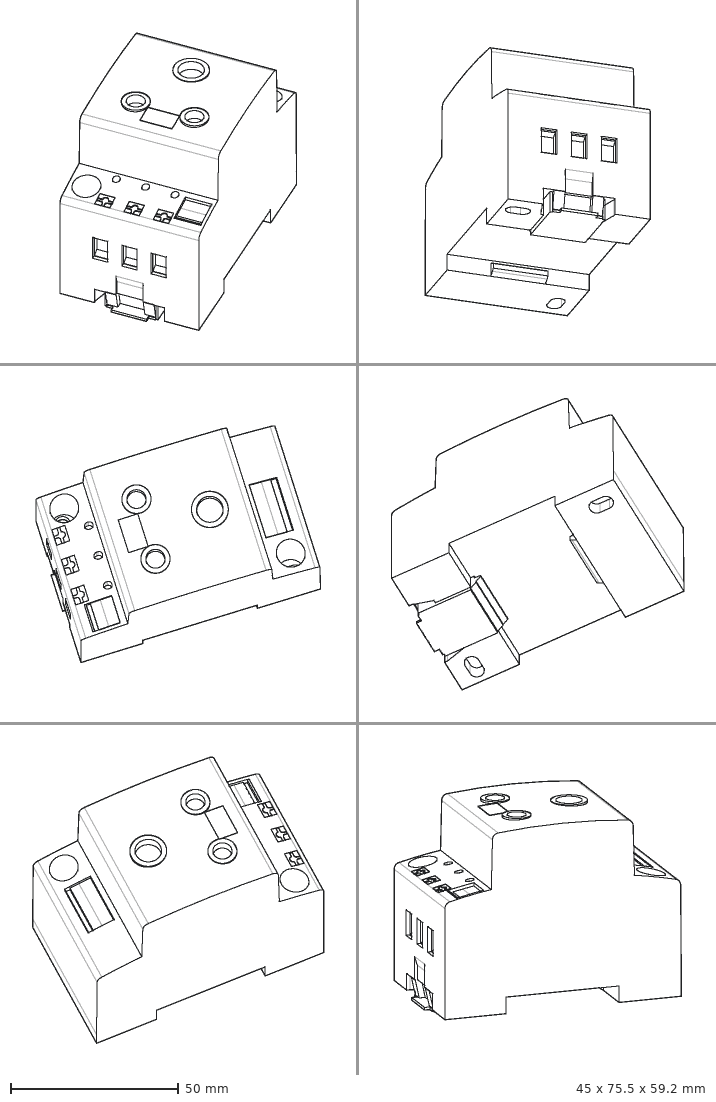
import cadquery as cq
import math

WIDTH = 45.0
HALF_DEPTH = 37.4
BACK_BASE = 37.6
BACK_DRAFT_START = 5.0
SHOULDER_HALF = 22.7
BLOCK_TOP_HALF = 22.3
CROWN_TOP = 57.5
CROWN_RADIUS = 205.0
SHOULDER_CROWN_TOP = 40.75
SHOULDER_RADIUS = 155.0
EDGE_FILLET = 2.0
FRONT = -HALF_DEPTH

CHANNEL_BACK = 17.8
CHANNEL_FRONT = -18.0
CHANNEL_HEIGHT = 5.15

RING_TOP = 57.65
RING_HOLE_DEPTH = 3.0
PITCH = 9.5
RINGS = [
    (0.0, 10.0, 5.5, 3.95),
    (-PITCH, -10.0, 4.35, 2.85),
    (PITCH, -10.0, 4.35, 2.85),
]

LABEL_WIDTH = 10.4
LABEL_FRONT = -17.05
LABEL_BACK = -10.95
LABEL_HEIGHT = 0.15

WELL_DIAMETER = 8.6
WELL_FLOOR = 5.0
MOUNT_SLOT_LENGTH = 7.6
MOUNT_SLOT_WIDTH = 4.5
MOUNTS = [(-16.9, -30.3, 0), (16.3, 30.2, 90)]

FRONT_POCKET = ((12.8, 21.4), -24.75, -28.3, -31.4, -32.7, -33.3)
BACK_POCKET = ((-7.05, 9.75), 24.5, 28.3, 31.2, 32.9, 33.1)
POCKET_DEPTH = 1.0
POCKET_TRENCH_DEPTH = 2.0
POCKET_LEDGE_DEPTH = 0.25

ACCESS_WIDTH = 2.2
ACCESS_LENGTH = 2.55
ACCESS_Y = -24.9
ACCESS_DEPTH = 6.0
CLIP_WIDTH = 4.9
CLIP_BACK = -31.65
CLIP_FRONT = -35.7
CLIP_DEPTH = 0.1
KEY_DEPTH = 0.4
KEY_BAR_BACK = -33.25
KEY_BAR_FRONT = -34.1
KEY_DOME_RADIUS = 0.95
KEY_STEM_WIDTH = 0.8
KEY_CORNER_RADIUS = 0.7

WINDOW_WIDTH = 4.9
WINDOW_BOTTOM = 16.9
WINDOW_TOP = 24.85
WINDOW_STEP_DEPTH = 1.2
WINDOW_DEPTH = 3.0
FUNNEL_WIDTH = 4.65
FUNNEL_FRONT_BOTTOM = 17.05
FUNNEL_FRONT_TOP = 24.4
FUNNEL_BACK_BOTTOM = 18.15
FUNNEL_BACK_TOP = 23.45

NOTCH_HALF = 11.35
NOTCH_INNER_HALF = 9.55
NOTCH_STRAIGHT = 1.0
NOTCH_DEPTH = 7.5
THUMB_HALF = 4.4
THUMB_TOP = 12.4
THUMB_KNEE = 9.65
THUMB_DEPTH = 0.86
LATCH_HALF = 8.65
LATCH_FRONT = FRONT + 1.6
LATCH_BOTTOM = -1.5
PAD_HALF = 7.9
PAD_TOP_DEPTH = 0.2
PAD_LEAN = 1.3
GRIP_TOP_DEPTH = 2.1
LIP_TOP = -0.65
LIP_FRONT = -37.88
LIP_TIP_HALF = 5.75
LIP_SHOULDER = -36.2

HOOK_HALF = LATCH_HALF
LATCH_HOOK = [
    (CHANNEL_FRONT, CHANNEL_HEIGHT),
    (-16.8, CHANNEL_HEIGHT),
    (-16.8, 4.4),
    (-16.0, 4.1),
    (-14.6, 4.0),
    (-14.6, 3.5),
    (-16.15, 1.9),
    (-16.15, 1.3),
    (CHANNEL_FRONT, -0.5),
]
FIXED_HOOK = [
    (CHANNEL_BACK, 4.2),
    (16.3, 3.7),
    (15.5, 3.3),
    (15.5, 1.7),
    (16.3, 1.0),
    (CHANNEL_BACK, 0),
]


def arc_height(y, top, radius):
    """Height at depth y of an arc centred on Y = 0."""
    return top - radius + math.sqrt(radius**2 - y**2)


def crown(y):
    return arc_height(y, CROWN_TOP, CROWN_RADIUS)


def shoulder(y):
    return arc_height(y, SHOULDER_CROWN_TOP, SHOULDER_RADIUS)


def side_prism(points, x_min, x_max):
    """Solid with a (y, z) outline running from x_min to x_max."""
    return cq.Workplane("YZ", origin=(x_min, 0, 0)).polyline(points).close().extrude(x_max - x_min)


def box(x_range, y_range, z_range):
    sizes = [high - low for low, high in (x_range, y_range, z_range)]
    corner = (x_range[0], y_range[0], z_range[0])
    return cq.Workplane("XY").box(*sizes, centered=False).translate(corner)


def make_housing():
    mid = (SHOULDER_HALF + HALF_DEPTH) / 2
    body = (
        cq.Workplane("YZ")
        .moveTo(FRONT, 0)
        .lineTo(FRONT, shoulder(FRONT))
        .threePointArc((-mid, shoulder(mid)), (-SHOULDER_HALF, shoulder(SHOULDER_HALF)))
        .lineTo(-BLOCK_TOP_HALF, crown(BLOCK_TOP_HALF))
        .threePointArc((0, CROWN_TOP), (BLOCK_TOP_HALF, crown(BLOCK_TOP_HALF)))
        .lineTo(SHOULDER_HALF, shoulder(SHOULDER_HALF))
        .threePointArc((mid, shoulder(mid)), (HALF_DEPTH, shoulder(HALF_DEPTH)))
        .lineTo(BACK_BASE, BACK_DRAFT_START)
        .lineTo(BACK_BASE, 0)
        .lineTo(CHANNEL_BACK, 0)
        .lineTo(CHANNEL_BACK, CHANNEL_HEIGHT)
        .lineTo(CHANNEL_FRONT, CHANNEL_HEIGHT)
        .lineTo(CHANNEL_FRONT, 0)
        .close()
        .extrude(WIDTH / 2, both=True)
    )
    rounded = [
        (FRONT, shoulder(FRONT)),
        (-BLOCK_TOP_HALF, crown(BLOCK_TOP_HALF)),
        (BLOCK_TOP_HALF, crown(BLOCK_TOP_HALF)),
        (HALF_DEPTH, shoulder(HALF_DEPTH)),
    ]
    for y, z in rounded:
        body = body.edges(cq.NearestToPointSelector((0, y, z))).fillet(EDGE_FILLET)
    return body


def add_rings(body):
    root = crown(BLOCK_TOP_HALF) - RING_HOLE_DEPTH
    for x, y, outer, _ in RINGS:
        ring = cq.Workplane("XY", origin=(x, y, root)).circle(outer).extrude(RING_TOP - root)
        body = body.union(ring)
    for x, y, _, inner in RINGS:
        hole = cq.Workplane("XY", origin=(x, y, RING_TOP)).circle(inner).extrude(-RING_HOLE_DEPTH)
        body = body.cut(hole)
    return body


def add_label(body, housing):
    half = LABEL_WIDTH / 2
    column = box((-half, half), (LABEL_FRONT, LABEL_BACK), (SHOULDER_CROWN_TOP, RING_TOP))
    return body.union(housing.translate((0, 0, LABEL_HEIGHT)).intersect(column))


def cut_mounts(body):
    for x, y, angle in MOUNTS:
        well = cq.Workplane("XY", origin=(x, y, WELL_FLOOR)).circle(WELL_DIAMETER / 2).extrude(CROWN_TOP)
        slot = (
            cq.Workplane("XY", origin=(x, y, 0))
            .slot2D(MOUNT_SLOT_LENGTH, MOUNT_SLOT_WIDTH, angle)
            .extrude(CROWN_TOP)
        )
        body = body.cut(well).cut(slot)
    return body


def shoulder_pocket(x_range, inner, crease, step, ledge, outer):
    """Pocket from y = inner to outer: two floor panels, a deeper trench, then a shallow ledge."""
    trench = shoulder(step) - POCKET_TRENCH_DEPTH
    ledge_height = shoulder(ledge) - POCKET_LEDGE_DEPTH
    outline = [(y, shoulder(y) - POCKET_DEPTH) for y in (inner, crease, step)]
    outline += [
        (step, trench),
        (ledge, trench),
        (ledge, ledge_height),
        (outer, ledge_height),
        (outer, SHOULDER_CROWN_TOP),
        (inner, SHOULDER_CROWN_TOP),
    ]
    return side_prism(outline, *x_range)


def clip_frame(x):
    """Rectangular outline of a terminal clip, as a tall prism."""
    half = CLIP_WIDTH / 2
    return box((x - half, x + half), (CLIP_FRONT, CLIP_BACK), (0, CROWN_TOP))


def clip_key(x):
    """Outline of the T-shaped groove, domed at the back, as a tall prism."""
    centre_y = (KEY_BAR_BACK + KEY_BAR_FRONT) / 2
    bar_depth = KEY_BAR_BACK - KEY_BAR_FRONT
    base = cq.Workplane("XY", origin=(x, 0, 0))
    bar = base.center(0, centre_y).rect(CLIP_WIDTH, bar_depth).extrude(CROWN_TOP)
    dome = base.center(0, KEY_BAR_BACK).circle(KEY_DOME_RADIUS).extrude(CROWN_TOP)
    stem_half = KEY_STEM_WIDTH / 2
    flare_half = stem_half + KEY_CORNER_RADIUS
    flare_front = KEY_BAR_FRONT - KEY_CORNER_RADIUS
    stem = (
        base.moveTo(-flare_half, KEY_BAR_FRONT)
        .radiusArc((-stem_half, flare_front), KEY_CORNER_RADIUS)
        .lineTo(-stem_half, CLIP_FRONT)
        .lineTo(stem_half, CLIP_FRONT)
        .lineTo(stem_half, flare_front)
        .radiusArc((flare_half, KEY_BAR_FRONT), KEY_CORNER_RADIUS)
        .close()
        .extrude(CROWN_TOP)
    )
    return bar.union(dome).union(stem).intersect(clip_frame(x))


def cut_clip(body, housing, x):
    """Sink the clip frame and its key to constant depths below the shoulder surface."""
    for area, depth in ((clip_frame(x), CLIP_DEPTH), (clip_key(x), KEY_DEPTH)):
        body = body.cut(area.cut(housing.translate((0, 0, -depth))))
    return body


def cut_access_hole(body, x):
    hole = (
        cq.Workplane("XY", origin=(x, ACCESS_Y, shoulder(ACCESS_Y) - ACCESS_DEPTH))
        .slot2D(ACCESS_LENGTH, ACCESS_WIDTH, 90)
        .extrude(CROWN_TOP)
    )
    return body.cut(hole)


def make_window():
    """Wire entry: a square-cut opening, then a slightly smaller funnel whose floor and roof converge."""
    entry_half = WINDOW_WIDTH / 2
    funnel_half = FUNNEL_WIDTH / 2
    step = FRONT + WINDOW_STEP_DEPTH
    back = FRONT + WINDOW_DEPTH
    entry = box((-entry_half, entry_half), (FRONT, step), (WINDOW_BOTTOM, WINDOW_TOP))
    funnel = [
        (step, FUNNEL_FRONT_BOTTOM),
        (back, FUNNEL_BACK_BOTTOM),
        (back, FUNNEL_BACK_TOP),
        (step, FUNNEL_FRONT_TOP),
    ]
    return entry.union(side_prism(funnel, -funnel_half, funnel_half))


def cut_notch(body):
    straight_end = FRONT + NOTCH_STRAIGHT
    notch_back = FRONT + NOTCH_DEPTH
    notch = (
        cq.Workplane("XY")
        .polyline(
            [
                (-NOTCH_HALF, FRONT),
                (NOTCH_HALF, FRONT),
                (NOTCH_HALF, straight_end),
                (NOTCH_INNER_HALF, notch_back),
                (-NOTCH_INNER_HALF, notch_back),
                (-NOTCH_HALF, straight_end),
            ]
        )
        .close()
        .extrude(CHANNEL_HEIGHT)
    )
    thumb_wall = FRONT + THUMB_DEPTH
    thumb = [
        (FRONT, 0),
        (FRONT, THUMB_TOP),
        (thumb_wall, THUMB_KNEE),
        (thumb_wall, 0),
    ]
    return body.cut(notch).cut(side_prism(thumb, -THUMB_HALF, THUMB_HALF))


def make_latch():
    block = box((-LATCH_HALF, LATCH_HALF), (LATCH_FRONT, CHANNEL_FRONT), (LATCH_BOTTOM, CHANNEL_HEIGHT))
    pad = [
        (FRONT + PAD_TOP_DEPTH, CHANNEL_HEIGHT),
        (FRONT + PAD_TOP_DEPTH + PAD_LEAN, LIP_TOP),
        (CHANNEL_FRONT, LIP_TOP),
        (CHANNEL_FRONT, CHANNEL_HEIGHT),
    ]
    grip = [
        (FRONT, CHANNEL_HEIGHT),
        (FRONT + GRIP_TOP_DEPTH, CHANNEL_HEIGHT),
        (FRONT + GRIP_TOP_DEPTH + PAD_LEAN, LIP_TOP),
        (FRONT, LIP_TOP),
    ]
    lip = (
        cq.Workplane("XY", origin=(0, 0, LATCH_BOTTOM))
        .polyline(
            [
                (-PAD_HALF, CHANNEL_FRONT),
                (-PAD_HALF, LIP_SHOULDER),
                (-LIP_TIP_HALF, LIP_SHOULDER),
                (-LIP_TIP_HALF, LIP_FRONT),
                (LIP_TIP_HALF, LIP_FRONT),
                (LIP_TIP_HALF, LIP_SHOULDER),
                (PAD_HALF, LIP_SHOULDER),
                (PAD_HALF, CHANNEL_FRONT),
            ]
        )
        .close()
        .extrude(LIP_TOP - LATCH_BOTTOM)
    )
    return (
        block.union(side_prism(pad, -PAD_HALF, PAD_HALF))
        .cut(side_prism(grip, -THUMB_HALF, THUMB_HALF))
        .union(lip)
        .union(side_prism(LATCH_HOOK, -HOOK_HALF, HOOK_HALF))
    )


housing = make_housing()
result = add_rings(add_label(housing, housing))
result = cut_mounts(result)
for pocket in (FRONT_POCKET, BACK_POCKET):
    result = result.cut(shoulder_pocket(*pocket))
window = make_window()
for pole in (-PITCH, 0, PITCH):
    result = cut_clip(result, housing, pole)
    result = cut_access_hole(result, pole)
    result = result.cut(window.translate((pole, 0, 0)))
result = cut_notch(result)
result = result.union(make_latch()).union(side_prism(FIXED_HOOK, -HOOK_HALF, HOOK_HALF))